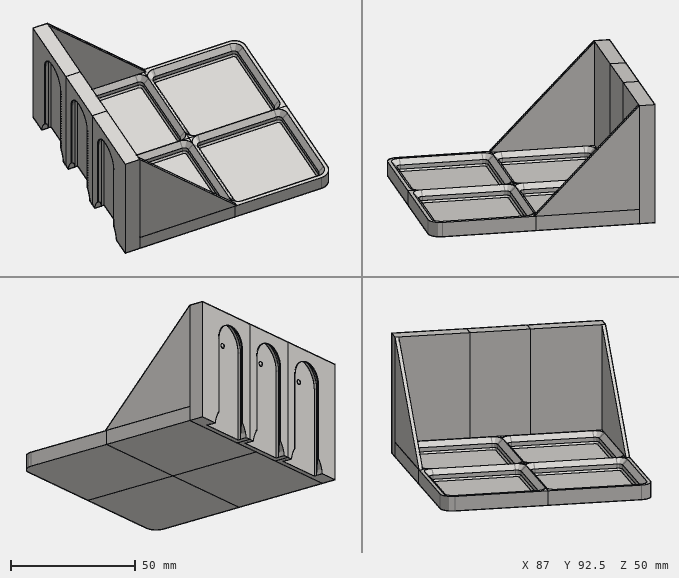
import cadquery as cq

WIDTH = 87.0
LENGTH = 92.5
HEIGHT = 50.0

CELL = 42.0
RIM = (WIDTH - 2 * CELL) / 2
FLOOR = 1.5
TILE_CORNER_RADIUS = 5.0

POCKET_CORNER_RADIUS = 4.0
UPPER_SLOPE = 2.1
POCKET_WALL = 1.8
LOWER_SLOPE = 0.7
SLOPE_ANGLE = 45
TRAY_HEIGHT = FLOOR + LOWER_SLOPE + POCKET_WALL + UPPER_SLOPE

PLATE_THICKNESS = 6.5
SLOT_PITCH = 25.0
SIDE_PLATE_WIDTH = (WIDTH - SLOT_PITCH) / 2

SLOT_RADIUS = 7.7
CHANNEL_RADIUS = 10.2
LIP_DEPTH = 0.5
DOVETAIL_DEPTH = CHANNEL_RADIUS - SLOT_RADIUS
CHANNEL_DEPTH = 1.2
SLOT_DEPTH = LIP_DEPTH + DOVETAIL_DEPTH + CHANNEL_DEPTH
SLOT_CENTER_BELOW_TOP = 12.5
SLOT_CENTER_Z = HEIGHT - SLOT_CENTER_BELOW_TOP

ENTRY_CENTER_Z = -1.1

DIMPLE_RADIUS = 1.0
DIMPLE_HEIGHT = 1.0

BRACKET_RUN = 43.2

MIDDLE_Y = LENGTH - RIM - CELL


def rounded_square(size, radius, z):
    """Square with rounded corners at height z, centred on the Z axis."""
    sketch = cq.Sketch().rect(size, size).vertices().fillet(radius)
    return cq.Workplane("XY").workplane(offset=z).placeSketch(sketch)


def make_pocket():
    """Stepped tray pocket, centred on the origin in X and Y."""
    wall_size = CELL - 2 * UPPER_SLOPE
    wall_radius = POCKET_CORNER_RADIUS - UPPER_SLOPE
    wall_top = TRAY_HEIGHT - UPPER_SLOPE
    wall_bottom = FLOOR + LOWER_SLOPE
    upper = rounded_square(CELL, POCKET_CORNER_RADIUS, TRAY_HEIGHT).extrude(-UPPER_SLOPE, taper=SLOPE_ANGLE)
    wall = rounded_square(wall_size, wall_radius, wall_top).extrude(-POCKET_WALL)
    lower = rounded_square(wall_size, wall_radius, wall_bottom).extrude(-LOWER_SLOPE, taper=SLOPE_ANGLE)
    return upper.union(wall).union(lower)


def make_tile(side, rear):
    """One tray tile; side is -1 for the -X column and +1 for the +X column."""
    front_y = MIDDLE_Y if rear else PLATE_THICKNESS
    back_y = LENGTH if rear else MIDDLE_Y
    tile = cq.Workplane("XY").box(WIDTH / 2, back_y - front_y, TRAY_HEIGHT, centered=(True, False, False))
    tile = tile.translate((side * WIDTH / 4, front_y, 0))
    if rear:
        outer_corner = "|Z and >Y and >X" if side > 0 else "|Z and >Y and <X"
        tile = tile.edges(outer_corner).fillet(TILE_CORNER_RADIUS)
    pocket_y = MIDDLE_Y + CELL / 2 if rear else MIDDLE_Y - CELL / 2
    return tile.cut(make_pocket().translate((side * CELL / 2, pocket_y, 0)))


def make_slot():
    """Dovetail slot centred on X = 0, open at the bottom, with its round entry and dimple."""
    profile = [
        (0, 0),
        (SLOT_RADIUS, 0),
        (SLOT_RADIUS, LIP_DEPTH),
        (CHANNEL_RADIUS, LIP_DEPTH + DOVETAIL_DEPTH),
        (CHANNEL_RADIUS, SLOT_DEPTH),
        (0, SLOT_DEPTH),
    ]
    half = cq.Workplane("XY").polyline(profile).close().extrude(SLOT_CENTER_Z)
    channel = half.union(half.mirror("YZ"))
    center = (0, 0, SLOT_CENTER_Z)
    round_end = cq.Workplane("XY").polyline(profile).close().revolve(360, (0, 0), (0, 1)).translate(center)
    entry = cq.Workplane("XZ").center(0, ENTRY_CENTER_Z).circle(CHANNEL_RADIUS).extrude(-SLOT_DEPTH)
    dimple_base = cq.Vector(0, SLOT_DEPTH, SLOT_CENTER_Z)
    dimple = cq.Solid.makeCone(DIMPLE_RADIUS, 0, DIMPLE_HEIGHT, dimple_base, cq.Vector(0, -1, 0))
    return channel.union(round_end).union(entry).cut(cq.Workplane(dimple))


def make_plate(position):
    """One back plate; position is -1, 0 or +1 from the -X side to the +X side."""
    width = SIDE_PLATE_WIDTH if position else SLOT_PITCH
    center_x = position * (SLOT_PITCH + SIDE_PLATE_WIDTH) / 2
    plate = cq.Workplane("XY").box(width, PLATE_THICKNESS, HEIGHT, centered=(True, False, False))
    slot = make_slot().translate((position * SLOT_PITCH, 0, 0))
    return plate.translate((center_x, 0, 0)).cut(slot)


def make_bracket(side):
    """Triangular bracket on one rim, against the back plate."""
    corners = [
        (PLATE_THICKNESS, TRAY_HEIGHT),
        (PLATE_THICKNESS + BRACKET_RUN, TRAY_HEIGHT),
        (PLATE_THICKNESS, HEIGHT),
    ]
    start_x = -WIDTH / 2 if side < 0 else WIDTH / 2 - RIM
    return cq.Workplane("YZ").workplane(offset=start_x).polyline(corners).close().extrude(RIM)


tiles = [make_tile(side, rear) for side in (-1, 1) for rear in (False, True)]
plates = [make_plate(position) for position in (-1, 0, 1)]
brackets = [make_bracket(side) for side in (-1, 1)]

result = cq.Compound.makeCompound([body.solids().val() for body in tiles + plates + brackets])